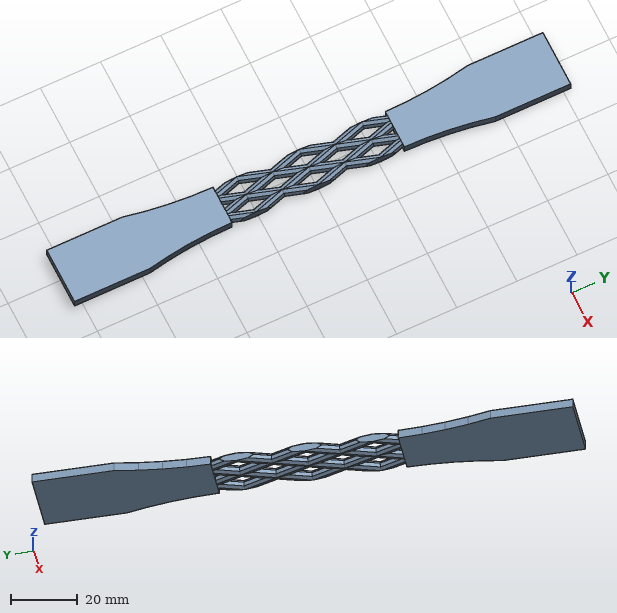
import cadquery as cq
import math

length = 165.0
grip_width = 19.0
thickness = 3.1
gauge_width = 13.0
lattice_length = 57.3
grip_length = 25.0

shoulder_facets = 4
shoulder_rise = (grip_width - gauge_width) / 2
shoulder_run = (length - lattice_length) / 2 - grip_length
shoulder_radius = (shoulder_run**2 + shoulder_rise**2) / (2 * shoulder_rise)
shoulder_angle = math.asin(shoulder_run / shoulder_radius)

strut_sides = 8
strut_corner_width = thickness
cell_width = gauge_width / 2
cell_length = 20.8
strut_lean = math.degrees(math.atan(cell_width / cell_length))
strut_length = 2 * lattice_length
outermost_cell = 2


def shoulder_points():
    """Corners of the +X shoulder, from the gauge out to the grip."""
    points = []
    for i in range(shoulder_facets + 1):
        angle = shoulder_angle * i / shoulder_facets
        x = gauge_width / 2 + shoulder_radius * (1 - math.cos(angle))
        y = lattice_length / 2 + shoulder_radius * math.sin(angle)
        points.append((x, y))
    return points


def grip():
    """Grip at the +Y end with its two shoulders."""
    right_side = shoulder_points() + [(grip_width / 2, length / 2)]
    left_side = [(-x, y) for x, y in reversed(right_side)]
    return (
        cq.Workplane("XY")
        .polyline(right_side + left_side)
        .close()
        .extrude(thickness / 2, both=True)
    )


def strut(x, lean):
    """Octagonal bar with corners at top, bottom and sides, crossing Y = 0 at x."""
    return (
        cq.Workplane("XZ")
        .polygon(strut_sides, strut_corner_width)
        .extrude(strut_length / 2, both=True)
        .rotate((0, 0, 0), (0, 0, 1), lean)
        .translate((x, 0, 0))
    )


def lattice():
    """Crossing struts trimmed to the gauge envelope."""
    envelope = cq.Workplane("XY").box(gauge_width, lattice_length, thickness)
    struts = cq.Workplane("XY")
    for cell in range(-outermost_cell, outermost_cell + 1):
        for lean in (strut_lean, -strut_lean):
            struts = struts.union(strut(cell * cell_width, lean))
    return struts.intersect(envelope)


upper_grip = grip()
lower_grip = upper_grip.mirror("XZ")
result = lattice().union(upper_grip).union(lower_grip)